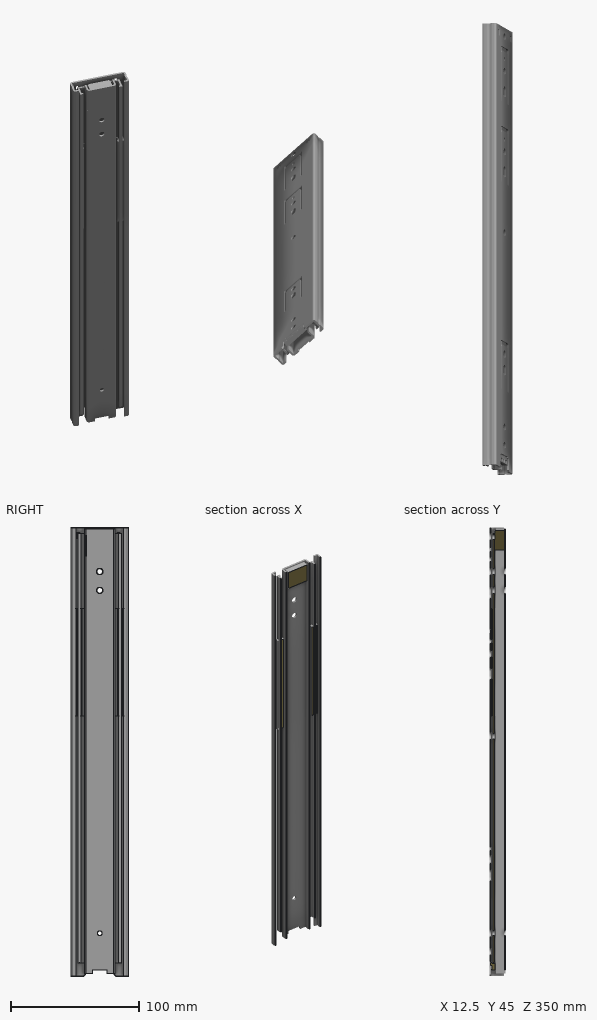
import cadquery as cq
import math

LENGTH = 350.0
DEPTH = 12.5
WIDTH = 45.0
SHEET = 1.5

OUTER_DEPTH = 11.5
OUTER_FLANGE = WIDTH / 2
OUTER_CORNER = 1.8
RACE_START = 4.0
RACE_END = 7.0
RACE_DEPTH = 0.5
OUTER_LIP_CORNER = 1.5
OUTER_LIP = 18.5

ARC_MIDDLE = 1 - math.sqrt(0.5)

MID_BACK = 2.5
MID_DEPTH = 11.2
MID_HALF_WIDTH = 17.0
MID_LIP = 14.7
MID_BOTTOM = 10.5
MID_TOP = 345.5

INNER_BACK = 5.2
INNER_HALF_WIDTH = 12.0
INNER_BOTTOM = 2.0
INNER_TOP = 349.0
INNER_BEVEL_X = 1.0
INNER_BEVEL_Y = 1.5

CAGE_BOTTOM = 203.0
CAGE_LENGTH = 84.0
CAGE_SHEET = 0.7
CAGE_ARM_FRONT = 9.5
OUTER_CAGE_ARM_BACK = 4.2
OUTER_CAGE_INSIDE = 18.0
OUTER_CAGE_OUTSIDE = 19.2
INNER_CAGE_BACK = 4.2
INNER_CAGE_ARM_BACK = 7.0
INNER_CAGE_INSIDE = 13.5
INNER_CAGE_OUTSIDE = 15.5

TONGUES = [(334.2, 43.8), (271.0, 44.0), (101.0, 38.5)]
TONGUE_SLOT_HALF_WIDTH = 9.8
TONGUE_SLOT_WIDTH = 2.0
TONGUE_TOP_GAP = 3.0
TONGUE_CORNER = 1.5
TONGUE_LIP_HALF_WIDTH = 6.3
TONGUE_LIP_BEVEL = 0.7
TONGUE_LIP_INSET = 0.52
TONGUE_LIP_GAP = 0.18

HOLE_DIAMETER = 5.2
PILOT_DIAMETER = 3.0
ROUND_HOLES = [343.0, 315.7, 251.5, 187.5, 33.5, 19.2]
PILOT_HOLES = [325.0, 261.5]
SLOT_HOLES = [(299.2, 8.5), (236.0, 8.8), (91.5, 6.0), (78.8, 8.5)]
WINDOW_SIZE = 4.2
WINDOW_TAB_WIDTH = 2.0
WINDOW_TAB_INSET = 0.5
WINDOW_Y = 15.8
WINDOW_Z = 343.7

ACCESS_HOLES = [(315.7, 4.5), (301.0, 4.5), (33.5, 3.5)]
MID_HOLES = [(342.5, 3.5), (187.2, 4.2)]

NOTCH_HALF_WIDTH = 11.2
NOTCH_FLARE = 1.5
NOTCH_HEIGHT = 10.5
NOTCH_STEP_HALF_WIDTH = 8.5
NOTCH_TOP = 11.2
INNER_NOTCH_HALF_WIDTH = 5.5
INNER_NOTCH_TOP = 5.0

EDGE_WINDOW_BOTTOM = 328.0
EDGE_WINDOW_HEIGHT = 15.8
EDGE_WINDOW_BACK = 11.5
EDGE_WINDOW_FRONT = 12.2

TOP_STOP_HALF_WIDTH = 9.0
TOP_STOP_BACK = 4.0
TOP_STOP_CORNER = 1.0
TOP_STOP_BOTTOM = 332.5
TOP_STOP_TOP = 348.0
BOTTOM_STOP_HALF_WIDTH = 10.0
BOTTOM_STOP_TOP = 10.0
BOTTOM_STOP_BACK = 0.5
BOTTOM_STOP_FRONT = 4.2
STOP_FINGER_PITCH = 6.0
STOP_FINGER_WIDTH = 4.0
STOP_FINGER_FRONT = 2.0
STOP_FINGER_TOP = 11.0
STOP_POCKET_BOTTOM = 5.5
STOP_POCKET_TOP = 8.0
STOP_POCKET_DEPTH = 1.5


def block(x0, x1, y0, y1, z0, z1):
    """Box between opposite corners."""
    return cq.Workplane("XY").box(x1 - x0, y1 - y0, z1 - z0, centered=False).translate((x0, y0, z0))


def round_hole(diameter, z):
    """Drill along X through every web, centred on Y = 0."""
    return cq.Workplane("YZ").center(0, z).circle(diameter / 2).extrude(DEPTH)


def slot_hole(diameter, height, z):
    """Vertical slot through every web, centred on Y = 0."""
    return cq.Workplane("YZ").center(0, z).slot2D(height, diameter, 90).extrude(DEPTH)


def u_channel(back, front, half_width, sheet, bottom, top):
    """Square U that opens towards +X."""
    solid = block(back, front, -half_width, half_width, bottom, top)
    inside = half_width - sheet
    return solid.cut(block(back + sheet, front, -inside, inside, bottom, top))


def outer_side(offset):
    """Half of the outer channel's section, moved inwards by the offset and closed on Y = 0."""
    flange = OUTER_FLANGE - offset
    radius = OUTER_CORNER - offset
    race_middle = (RACE_START + RACE_END) / 2
    corner = radius * ARC_MIDDLE
    lip_corner = OUTER_LIP_CORNER * ARC_MIDDLE
    return (
        cq.Workplane("XY")
        .moveTo(offset, 0)
        .lineTo(offset, flange - radius)
        .threePointArc((offset + corner, flange - corner), (OUTER_CORNER, flange))
        .lineTo(RACE_START, flange)
        .threePointArc((race_middle, flange - RACE_DEPTH), (RACE_END, flange))
        .lineTo(OUTER_DEPTH - OUTER_LIP_CORNER, flange)
        .threePointArc(
            (OUTER_DEPTH - lip_corner, flange - lip_corner),
            (OUTER_DEPTH, flange - OUTER_LIP_CORNER),
        )
        .lineTo(OUTER_DEPTH, 0)
        .close()
        .extrude(LENGTH)
    )


def make_tongue_cut(top, height):
    """U-slot around a tongue whose narrow set-back lip stays inside the slot."""
    half = TONGUE_SLOT_HALF_WIDTH
    inner = half - TONGUE_SLOT_WIDTH
    bottom = top - height
    tongue_top = top - TONGUE_TOP_GAP
    cut = block(0, SHEET, -half, half, bottom, top).edges("|X and >Z").fillet(TONGUE_CORNER)
    tongue = block(0, SHEET, -inner, inner, bottom, tongue_top).edges("|X and >Z").chamfer(TONGUE_CORNER)
    lip_half = TONGUE_LIP_HALF_WIDTH
    lip = block(TONGUE_LIP_INSET, SHEET, -lip_half, lip_half, tongue_top, top - TONGUE_LIP_GAP)
    lip = lip.edges("|Z and <X").chamfer(TONGUE_LIP_BEVEL)
    return cut.cut(tongue).cut(lip)


def make_window_cut(y):
    """Square window with a set-back tab along its +Y edge."""
    half = WINDOW_SIZE / 2
    bottom = WINDOW_Z - half
    top = WINDOW_Z + half
    window = block(0, SHEET, y - half, y + half, bottom, top)
    tab = block(WINDOW_TAB_INSET, SHEET, y + half - WINDOW_TAB_WIDTH, y + half, bottom, top)
    return window.cut(tab)


def make_outer_channel():
    lip_back = OUTER_DEPTH - SHEET
    cavity = outer_side(SHEET).intersect(block(SHEET, lip_back, 0, WIDTH, 0, LENGTH))
    lip_opening = block(lip_back, OUTER_DEPTH, 0, OUTER_LIP, 0, LENGTH)
    half_channel = outer_side(0).cut(cavity).cut(lip_opening)
    channel = half_channel.union(half_channel.mirror("XZ"))
    for top, height in TONGUES:
        channel = channel.cut(make_tongue_cut(top, height))
    for z in ROUND_HOLES:
        channel = channel.cut(round_hole(HOLE_DIAMETER, z))
    for z in PILOT_HOLES:
        channel = channel.cut(round_hole(PILOT_DIAMETER, z))
    for z, height in SLOT_HOLES:
        channel = channel.cut(slot_hole(HOLE_DIAMETER, height, z))
    for y in (-WINDOW_Y, WINDOW_Y):
        channel = channel.cut(make_window_cut(y))
    mouth = NOTCH_HALF_WIDTH + NOTCH_FLARE
    notch = (
        cq.Workplane("YZ")
        .polyline([
            (-mouth, 0),
            (-NOTCH_HALF_WIDTH, NOTCH_FLARE),
            (-NOTCH_HALF_WIDTH, NOTCH_HEIGHT),
            (-NOTCH_STEP_HALF_WIDTH, NOTCH_HEIGHT),
            (-NOTCH_STEP_HALF_WIDTH, NOTCH_TOP),
            (NOTCH_STEP_HALF_WIDTH, NOTCH_TOP),
            (NOTCH_STEP_HALF_WIDTH, NOTCH_HEIGHT),
            (NOTCH_HALF_WIDTH, NOTCH_HEIGHT),
            (NOTCH_HALF_WIDTH, NOTCH_FLARE),
            (mouth, 0),
        ])
        .close()
        .extrude(SHEET)
    )
    return channel.cut(notch)


def cut_round_holes(channel, holes):
    for z, diameter in holes:
        channel = channel.cut(round_hole(diameter, z))
    return channel


def make_middle_channel():
    """Channel whose flanges end in lips turned towards Y = 0."""
    lip_back = MID_DEPTH - SHEET
    channel = u_channel(MID_BACK, MID_DEPTH, MID_HALF_WIDTH, SHEET, MID_BOTTOM, MID_TOP)
    inside = MID_HALF_WIDTH - SHEET
    for y in (-inside, MID_LIP):
        channel = channel.union(block(lip_back, MID_DEPTH, y, y + inside - MID_LIP, MID_BOTTOM, MID_TOP))
    return cut_round_holes(channel, ACCESS_HOLES + MID_HOLES)


def make_inner_channel():
    channel = u_channel(-DEPTH, -INNER_BACK, INNER_HALF_WIDTH, SHEET, INNER_BOTTOM, INNER_TOP).mirror("YZ")
    channel = channel.faces(">X").edges("|Z").chamfer(INNER_BEVEL_X, INNER_BEVEL_Y)
    half = INNER_NOTCH_HALF_WIDTH
    channel = channel.cut(block(INNER_BACK, DEPTH, -half, half, 0, INNER_NOTCH_TOP))
    edge_window = block(
        EDGE_WINDOW_BACK, EDGE_WINDOW_FRONT, -INNER_HALF_WIDTH, -INNER_HALF_WIDTH + SHEET,
        EDGE_WINDOW_BOTTOM, EDGE_WINDOW_BOTTOM + EDGE_WINDOW_HEIGHT,
    )
    return cut_round_holes(channel.cut(edge_window), ACCESS_HOLES)


def make_cage(back, arm_back, arm_inside, arm_outside):
    """Thin web with a ball-carrying arm at each side."""
    top = CAGE_BOTTOM + CAGE_LENGTH
    cage = u_channel(back, CAGE_ARM_FRONT, arm_outside, CAGE_SHEET, CAGE_BOTTOM, top)
    for y in (-arm_outside, arm_inside):
        cage = cage.union(block(arm_back, CAGE_ARM_FRONT, y, y + arm_outside - arm_inside, CAGE_BOTTOM, top))
    return cage


def make_top_stop():
    half = TOP_STOP_HALF_WIDTH
    stop = block(TOP_STOP_BACK, DEPTH - SHEET, -half, half, TOP_STOP_BOTTOM, TOP_STOP_TOP)
    return stop.edges("|Z and <X").chamfer(TOP_STOP_CORNER)


def make_bottom_stop():
    """Bar in the bottom notch with three fingers on top and a pocket below each of them."""
    half = BOTTOM_STOP_HALF_WIDTH
    back = BOTTOM_STOP_BACK
    stop = block(back, BOTTOM_STOP_FRONT, -half, half, INNER_NOTCH_TOP, BOTTOM_STOP_TOP)
    for place in (-1, 0, 1):
        y0 = place * STOP_FINGER_PITCH - STOP_FINGER_WIDTH / 2
        y1 = y0 + STOP_FINGER_WIDTH
        finger = block(back, STOP_FINGER_FRONT, y0, y1, BOTTOM_STOP_TOP, STOP_FINGER_TOP)
        pocket = block(back, back + STOP_POCKET_DEPTH, y0, y1, STOP_POCKET_BOTTOM, STOP_POCKET_TOP)
        stop = stop.union(finger).cut(pocket)
    return stop


outer_channel = make_outer_channel()
middle_channel = make_middle_channel()
inner_channel = make_inner_channel()
outer_cage = make_cage(SHEET, OUTER_CAGE_ARM_BACK, OUTER_CAGE_INSIDE, OUTER_CAGE_OUTSIDE)
inner_cage = make_cage(INNER_CAGE_BACK, INNER_CAGE_ARM_BACK, INNER_CAGE_INSIDE, INNER_CAGE_OUTSIDE)
top_stop = make_top_stop()
bottom_stop = make_bottom_stop()

result = cq.Compound.makeCompound([
    outer_channel.val(), middle_channel.val(), inner_channel.val(),
    outer_cage.val(), inner_cage.val(), top_stop.val(), bottom_stop.val(),
])